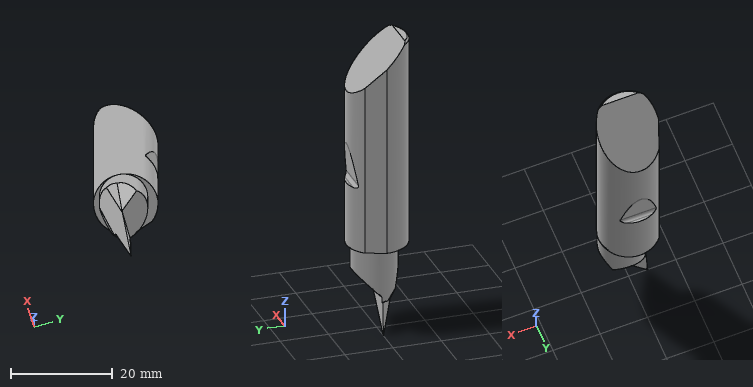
import cadquery as cq
import math

OVERALL_LENGTH = 63.15
SHANK_RADIUS = 12.7 / 2
SHOULDER_Z = 18.85
TOP_CHAMFER = 0.4
SLANT_HEIGHT = 10.85
SIDE_FLAT_ANGLE = 20.0

NOTCH_BOTTOM_Z = 32.35
NOTCH_LENGTH = 8.6
NOTCH_DEPTH = 1.4
NOTCH_FILLET = 0.7

NECK_RADIUS = 4.75
NECK_X = SHANK_RADIUS - NECK_RADIUS
BACK_SLOPE_Z = 7.9
FRONT_SLOPE_TOP_Z = 14.55
FRONT_SLOPE_ANGLE = 15.0

TIP_HEIGHT = 6.85
TIP_X = -4.07
TIP_WIDTH = 0.2
LEFT_EDGE_LEAN = 3.2
RIGHT_EDGE_LEAN = 40.3
RELIEF_ANGLE = 45.0

HEEL_LEAN = 30.0
HEEL_RELIEF = 21.5
HEEL_X = 2.5
HEEL_Z = 7.5

NECK_RELIEF_POINT = (-1.22, -2.6, TIP_HEIGHT)
NECK_RELIEF_NORMAL = (-0.55, -0.74, -0.42)

CUTTER_SIZE = 200.0


def half_space(point, normal):
    """Large block filling the space on the normal's side of a plane."""
    plane = cq.Plane(origin=point, normal=normal)
    return cq.Workplane(plane).rect(CUTTER_SIZE, CUTTER_SIZE).extrude(CUTTER_SIZE)


def edge_relief(point, lean, relief, side):
    """Half space outside a flank that meets the plane Y = 0 in a leaning edge."""
    lean = math.radians(lean)
    relief = math.radians(relief)
    across = side * math.cos(relief)
    normal = (across * math.cos(lean), -math.sin(relief), -across * math.sin(lean))
    return half_space(point, normal)


def make_shank():
    shank = (
        cq.Workplane("XY", origin=(0, 0, SHOULDER_Z))
        .circle(SHANK_RADIUS)
        .extrude(OVERALL_LENGTH - SHOULDER_Z)
        .faces(">Z")
        .chamfer(TOP_CHAMFER)
    )
    slant = half_space((0, SHANK_RADIUS, OVERALL_LENGTH - SLANT_HEIGHT), (0, 1, 1))
    flat_angle = math.radians(SIDE_FLAT_ANGLE)
    side_flat = half_space((-SHANK_RADIUS, 0, SHOULDER_Z), (-math.cos(flat_angle), math.sin(flat_angle), 0))
    return shank.cut(slant).cut(side_flat).cut(make_notch())


def make_notch():
    floor_y = SHANK_RADIUS - NOTCH_DEPTH
    return (
        cq.Workplane("YZ", origin=(-SHANK_RADIUS, 0, 0))
        .moveTo(SHANK_RADIUS, NOTCH_BOTTOM_Z)
        .lineTo(floor_y, NOTCH_BOTTOM_Z)
        .lineTo(SHANK_RADIUS, NOTCH_BOTTOM_Z + NOTCH_LENGTH)
        .close()
        .extrude(2 * SHANK_RADIUS)
        .edges("<Y")
        .fillet(NOTCH_FILLET)
    )


def make_neck():
    neck = (
        cq.Workplane("XY", origin=(NECK_X, 0, TIP_HEIGHT))
        .circle(NECK_RADIUS)
        .extrude(SHOULDER_Z - TIP_HEIGHT)
    )
    front_angle = math.radians(FRONT_SLOPE_ANGLE)
    back_cut = (
        cq.Workplane("YZ", origin=(-SHANK_RADIUS, 0, 0))
        .moveTo(0, 0)
        .lineTo(0, BACK_SLOPE_Z)
        .lineTo(SHANK_RADIUS, BACK_SLOPE_Z + SHANK_RADIUS)
        .lineTo(SHANK_RADIUS, 0)
        .close()
        .extrude(2 * SHANK_RADIUS)
    )
    heel_corner = (HEEL_X, 0, HEEL_Z)
    cutters = [
        back_cut,
        half_space((0, -NECK_RADIUS, FRONT_SLOPE_TOP_Z), (0, -math.cos(front_angle), -math.sin(front_angle))),
        half_space(NECK_RELIEF_POINT, NECK_RELIEF_NORMAL),
        edge_relief((TIP_X + TIP_WIDTH, 0, 0), RIGHT_EDGE_LEAN, RELIEF_ANGLE, 1),
        edge_relief(heel_corner, HEEL_LEAN, HEEL_RELIEF, 1),
        edge_relief(heel_corner, HEEL_LEAN, 0, 1),
    ]
    for cutter in cutters:
        neck = neck.cut(cutter)
    return neck


def make_tip():
    tip = (
        cq.Workplane("XY", origin=(0, -SHANK_RADIUS / 2, 0))
        .rect(2 * SHANK_RADIUS, SHANK_RADIUS)
        .extrude(TIP_HEIGHT)
    )
    left = edge_relief((TIP_X, 0, 0), LEFT_EDGE_LEAN, RELIEF_ANGLE, -1)
    right = edge_relief((TIP_X + TIP_WIDTH, 0, 0), RIGHT_EDGE_LEAN, RELIEF_ANGLE, 1)
    return tip.cut(left).cut(right)


result = make_shank().union(make_neck()).union(make_tip())